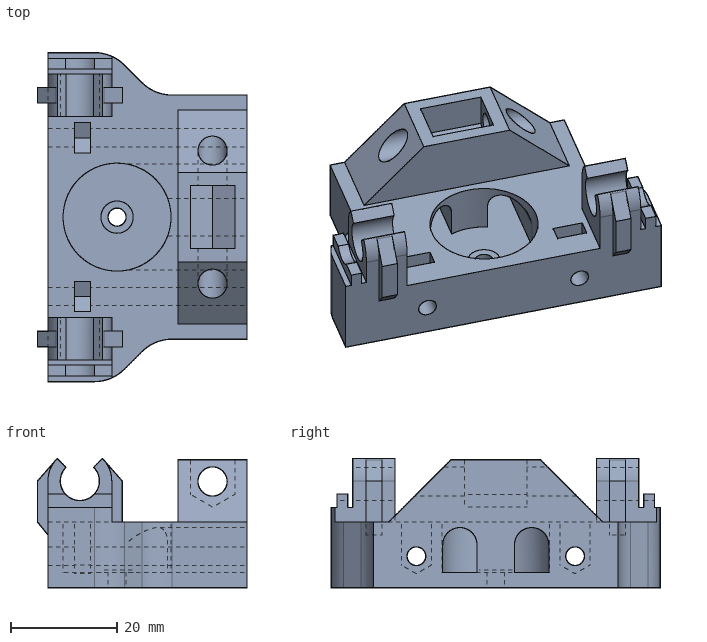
import cadquery as cq
import math

LENGTH = 62.0
DEPTH = 37.5
PLATE_HEIGHT = 12.4
NECK_LENGTH = 46.0
SHOULDER_START = 8.75
SHOULDER_RADIUS = 8.0

CLIP_CENTER_Y = 22.95
CLIP_LENGTH = 8.0
CLIP_WIDTH = 12.0
CLIP_RADIUS = CLIP_WIDTH / 2
CLIP_BORE_RADIUS = 3.65
CLIP_TOP = 24.35
CLIP_AXIS_X = CLIP_WIDTH / 2
CLIP_AXIS_Z = CLIP_TOP - CLIP_RADIUS * math.sin(math.radians(45))
PEDESTAL_TOP = 15.1
PEDESTAL_INNER_Y = CLIP_CENTER_Y - CLIP_LENGTH / 2

TAB_CENTER_Y = 28.9
TAB_THICKNESS = 2.05
TAB_TOP = 17.7

RIB_LENGTH = 3.0
RIB_PROJECTION = 2.0
RIB_FOOT_Z = 9.9

TOWER_WIDTH = 13.0
TOWER_TOP = 24.1
TOWER_TOP_LENGTH = 16.85
TOWER_BASE_LENGTH = TOWER_TOP_LENGTH + 2 * (TOWER_TOP - PLATE_HEIGHT)
TOWER_CENTER_X = DEPTH - TOWER_WIDTH / 2
ROD_HOLE_RADIUS = 2.7
ROD_HOLE_Z = 20.0
TOWER_NUT_FLATS = 8.4
TOWER_NUT_LENGTH = 11.85

POCKET_X = 13.0
POCKET_RADIUS = 10.15
POCKET_FLOOR_Z = 2.85
SEAT_RADIUS = 3.05
SEAT_HEIGHT = 0.5
SCREW_RADIUS = 1.7

TUNNEL_Y = 6.75
TUNNEL_RADIUS = 3.2
TUNNEL_SPRING_Z = 8.1

BOLT_Y = 14.95
BOLT_Z = 5.95
BOLT_RADIUS = 1.75
BOLT_NUT_FLATS = 5.7
BOLT_NUT_X = 6.5
BOLT_NUT_THICKNESS = 3.0

SIDES = (-1, 1)


def box(x_min, x_max, y_center, y_length, z_min, z_max):
    """Block given by its X and Z limits and its place along Y."""
    return cq.Workplane("XY").box(
        x_max - x_min, y_length, z_max - z_min, centered=(False, True, False)
    ).translate((x_min, y_center, z_min))


def cylinder_x(y, z, radius):
    """Cylinder along X through the full depth."""
    return cq.Workplane("YZ").center(y, z).circle(radius).extrude(DEPTH)


def cylinder_y(x, z, radius):
    """Cylinder along Y through the full length."""
    return cq.Workplane("XZ").center(x, z).circle(radius).extrude(LENGTH / 2, both=True)


def extrude_y(profile, y_center, length):
    """Extrude an XZ profile symmetrically about y_center."""
    return profile.extrude(length / 2, both=True).translate((0, y_center, 0))


def nut_outline(plane, center, axis_z, flats, top):
    """Nut slot section: open at the top, ending below in the point of a hexagon."""
    half = flats / 2
    corner_z = axis_z - half * math.tan(math.radians(30))
    point_z = axis_z - half / math.cos(math.radians(30))
    return cq.Workplane(plane).polyline([
        (center - half, top),
        (center - half, corner_z),
        (center, point_z),
        (center + half, corner_z),
        (center + half, top),
    ]).close()


def outline(height):
    """Plate outline with S-shaped shoulders: two 45 degree arcs joined by a straight."""
    drop = (LENGTH - NECK_LENGTH) / 2
    run = SHOULDER_RADIUS * math.sin(math.radians(45))
    rise = SHOULDER_RADIUS - run
    mid_run = SHOULDER_RADIUS * math.sin(math.radians(22.5))
    mid_rise = SHOULDER_RADIUS * (1 - math.cos(math.radians(22.5)))
    shoulder_end = SHOULDER_START + 2 * run + drop - 2 * rise
    half = LENGTH / 2
    neck = NECK_LENGTH / 2
    profile = (
        cq.Workplane("XY")
        .lineTo(0, half)
        .lineTo(SHOULDER_START, half)
        .threePointArc((SHOULDER_START + mid_run, half - mid_rise), (SHOULDER_START + run, half - rise))
        .lineTo(shoulder_end - run, neck + rise)
        .threePointArc((shoulder_end - mid_run, neck + mid_rise), (shoulder_end, neck))
        .lineTo(DEPTH, neck)
        .lineTo(DEPTH, 0)
        .close()
        .extrude(height)
    )
    return profile.union(profile.mirror("XZ"))


def pedestal(side):
    """Raised end block that follows the plate outline."""
    length = LENGTH / 2 - PEDESTAL_INNER_Y
    center_y = side * (PEDESTAL_INNER_Y + length / 2)
    block = box(0, CLIP_WIDTH, center_y, length, 0, PEDESTAL_TOP)
    return block.intersect(outline(PEDESTAL_TOP))


def clip(side):
    """Clip body with a rounded top; its mouth opens 90 degrees from the bore axis."""
    body = extrude_y(
        cq.Workplane("XZ")
        .moveTo(0, PLATE_HEIGHT)
        .lineTo(0, CLIP_AXIS_Z)
        .threePointArc((CLIP_AXIS_X, CLIP_AXIS_Z + CLIP_RADIUS), (CLIP_WIDTH, CLIP_AXIS_Z))
        .lineTo(CLIP_WIDTH, PLATE_HEIGHT)
        .close(),
        side * CLIP_CENTER_Y, CLIP_LENGTH,
    )
    return body.union(rib(side)).cut(clip_mouth())


def rib(side):
    """Rib whose sloping top faces are tangent to the round top of the clip."""
    reach = CLIP_RADIUS + RIB_PROJECTION
    tangent_x = CLIP_RADIUS ** 2 / reach
    tangent_z = CLIP_AXIS_Z + math.sqrt(CLIP_RADIUS ** 2 - tangent_x ** 2)
    profile = cq.Workplane("XZ").polyline([
        (0, RIB_FOOT_Z),
        (-RIB_PROJECTION, PLATE_HEIGHT),
        (-RIB_PROJECTION, CLIP_AXIS_Z),
        (CLIP_AXIS_X - tangent_x, tangent_z),
        (CLIP_AXIS_X + tangent_x, tangent_z),
        (CLIP_WIDTH + RIB_PROJECTION, CLIP_AXIS_Z),
        (CLIP_WIDTH + RIB_PROJECTION, PLATE_HEIGHT),
        (CLIP_WIDTH, RIB_FOOT_Z),
    ]).close()
    return extrude_y(profile, side * CLIP_CENTER_Y, RIB_LENGTH)


def clip_mouth():
    """Wedge that opens upward from the bore axis."""
    profile = cq.Workplane("XZ").polyline([
        (CLIP_AXIS_X, CLIP_AXIS_Z),
        (CLIP_AXIS_X - CLIP_RADIUS, CLIP_AXIS_Z + CLIP_RADIUS),
        (CLIP_AXIS_X + CLIP_RADIUS, CLIP_AXIS_Z + CLIP_RADIUS),
    ]).close()
    return extrude_y(profile, 0, LENGTH)


def clip_bore(side):
    """Rod bore through one clip and its stop tab."""
    profile = cq.Workplane("XZ").center(CLIP_AXIS_X, CLIP_AXIS_Z).circle(CLIP_BORE_RADIUS)
    return extrude_y(profile, side * LENGTH / 2, LENGTH / 2)


def tower():
    """Tower with 45 degree end slopes, a nut pocket and a rod hole along Y."""
    body = cq.Workplane("YZ").workplane(offset=DEPTH - TOWER_WIDTH).polyline([
        (-TOWER_BASE_LENGTH / 2, PLATE_HEIGHT),
        (-TOWER_TOP_LENGTH / 2, TOWER_TOP),
        (TOWER_TOP_LENGTH / 2, TOWER_TOP),
        (TOWER_BASE_LENGTH / 2, PLATE_HEIGHT),
    ]).close().extrude(TOWER_WIDTH)
    nut = nut_outline("XZ", TOWER_CENTER_X, ROD_HOLE_Z, TOWER_NUT_FLATS, TOWER_TOP)
    body = body.cut(extrude_y(nut, 0, TOWER_NUT_LENGTH))
    return body.cut(cylinder_y(TOWER_CENTER_X, ROD_HOLE_Z, ROD_HOLE_RADIUS))


def round_pocket():
    """Pocket volume, less the raised seat, plus the screw hole."""
    pocket = cq.Workplane("XY").circle(POCKET_RADIUS).extrude(PLATE_HEIGHT - POCKET_FLOOR_Z)
    seat = cq.Workplane("XY").circle(SEAT_RADIUS).extrude(SEAT_HEIGHT)
    screw = cq.Workplane("XY").circle(SCREW_RADIUS).extrude(PLATE_HEIGHT)
    pocket = pocket.cut(seat).translate((POCKET_X, 0, POCKET_FLOOR_Z))
    return pocket.union(screw.translate((POCKET_X, 0, 0)))


def tunnel(side):
    """Arched tunnel level with the pocket floor, open at the short side."""
    center = side * TUNNEL_Y
    return (
        cq.Workplane("YZ")
        .workplane(offset=POCKET_X)
        .moveTo(center - TUNNEL_RADIUS, POCKET_FLOOR_Z)
        .lineTo(center - TUNNEL_RADIUS, TUNNEL_SPRING_Z)
        .threePointArc(
            (center, TUNNEL_SPRING_Z + TUNNEL_RADIUS),
            (center + TUNNEL_RADIUS, TUNNEL_SPRING_Z),
        )
        .lineTo(center + TUNNEL_RADIUS, POCKET_FLOOR_Z)
        .close()
        .extrude(DEPTH - POCKET_X)
    )


def bolt_cut(side):
    """Bolt hole through the full depth with its nut slot."""
    nut = nut_outline("YZ", side * BOLT_Y, BOLT_Z, BOLT_NUT_FLATS, PLATE_HEIGHT)
    slot = nut.extrude(BOLT_NUT_THICKNESS).translate((BOLT_NUT_X - BOLT_NUT_THICKNESS / 2, 0, 0))
    return slot.union(cylinder_x(side * BOLT_Y, BOLT_Z, BOLT_RADIUS))


result = outline(PLATE_HEIGHT).union(tower())
for end in SIDES:
    tab = box(0, CLIP_WIDTH, end * TAB_CENTER_Y, TAB_THICKNESS, PLATE_HEIGHT, TAB_TOP)
    result = result.union(pedestal(end)).union(clip(end)).union(tab).cut(clip_bore(end))
result = result.cut(round_pocket())
for end in SIDES:
    result = result.cut(tunnel(end)).cut(bolt_cut(end))